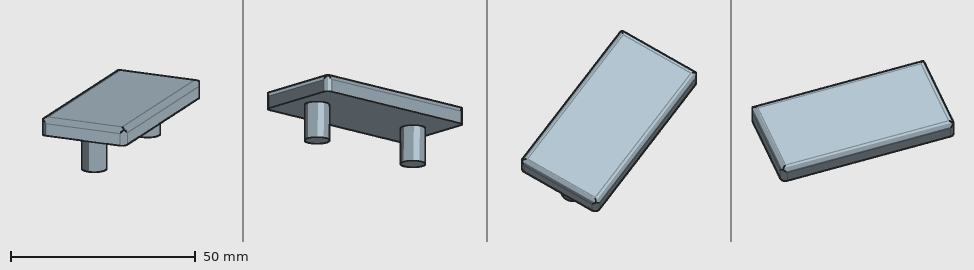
import cadquery as cq

plate_width = 25.0
plate_length = 50.0
plate_thickness = 5.0
edge_radius = 1.5

post_diameter = 6.8
post_height = 10.0
post_spacing = 35.0


def make_rounded_block(edges):
    """Plate-sized block standing on Z = 0, with only the selected edges rounded."""
    block = cq.Workplane("XY").box(
        plate_width, plate_length, plate_thickness, centered=(True, True, False)
    )
    return block.edges(edges).fillet(edge_radius)


def make_plate():
    """Common volume of three rounded blocks, so the edge rounds meet in mitres at the corners."""
    rounded_corners = make_rounded_block("|Z")
    rounded_long_edges = make_rounded_block("|Y and >Z")
    rounded_short_edges = make_rounded_block("|X and >Z")
    return rounded_corners.intersect(rounded_long_edges).intersect(rounded_short_edges)


def make_post(y_center):
    """Round post hanging below the plate."""
    return (
        cq.Workplane("XY")
        .center(0, y_center)
        .circle(post_diameter / 2)
        .extrude(-post_height)
    )


result = make_plate()
for y_center in (-post_spacing / 2, post_spacing / 2):
    result = result.union(make_post(y_center))